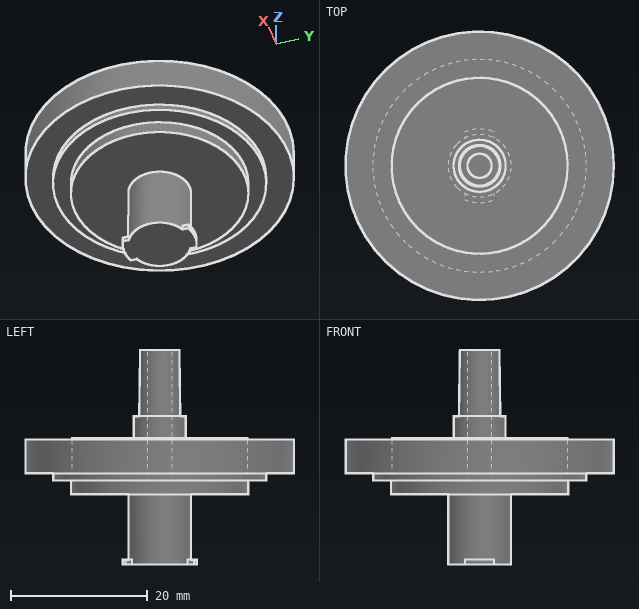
import cadquery as cq

total_height = 31.38

hub_diameter = 9.18
hub_height = 10.28
lower_step_diameter = 25.92
lower_step_height = 2.0
upper_step_diameter = 31.15
upper_step_height = 1.05
lug_span = 10.82
lug_width = 4.2
lug_height = 0.75

flange_diameter = 39.22
flange_height = 5.0

plate_diameter = 25.7
plate_rise = 0.15
collar_diameter = 7.6
spout_base_diameter = 6.08
spout_tip_diameter = 5.8
spout_height = 9.7
bore_diameter = 3.53

upper_step_bottom = hub_height + lower_step_height
flange_bottom = upper_step_bottom + upper_step_height
plate_height = flange_height + plate_rise
plate_top = flange_bottom + plate_height
spout_bottom = total_height - spout_height


def cylinder(diameter, height, bottom):
    """Upright cylinder on the Z axis, standing on the level `bottom`."""
    return cq.Workplane("XY").workplane(offset=bottom).circle(diameter / 2).extrude(height)


def make_lugs():
    """Bar across the hub in Y, with parallel sides and rounded ends that form the two lugs."""
    bar = cq.Workplane("XY").rect(lug_width, lug_span).extrude(lug_height)
    return bar.intersect(cylinder(lug_span, lug_height, 0))


def make_outlet():
    hub = cylinder(hub_diameter, hub_height, 0)
    lower_step = cylinder(lower_step_diameter, lower_step_height, hub_height)
    upper_step = cylinder(upper_step_diameter, upper_step_height, upper_step_bottom)
    return hub.union(lower_step).union(upper_step).union(make_lugs())


def make_flange():
    """Ring whose opening is filled by the inlet plate."""
    opening = cylinder(plate_diameter, flange_height, flange_bottom)
    return cylinder(flange_diameter, flange_height, flange_bottom).cut(opening)


def make_spout():
    """Cone that narrows slightly towards its tip."""
    base = cq.Workplane("XY").workplane(offset=spout_bottom).circle(spout_base_diameter / 2)
    return base.workplane(offset=spout_height).circle(spout_tip_diameter / 2).loft()


def make_inlet():
    """Plate, collar and spout, bored through down to the closed top face of the outlet."""
    plate = cylinder(plate_diameter, plate_height, flange_bottom)
    collar = cylinder(collar_diameter, spout_bottom - plate_top, plate_top)
    bore = cylinder(bore_diameter, total_height - flange_bottom, flange_bottom)
    return plate.union(collar).union(make_spout()).cut(bore)


outlet = make_outlet().solids()
flange = make_flange().solids()
inlet = make_inlet().solids()

result = cq.Compound.makeCompound([outlet.val(), flange.val(), inlet.val()])